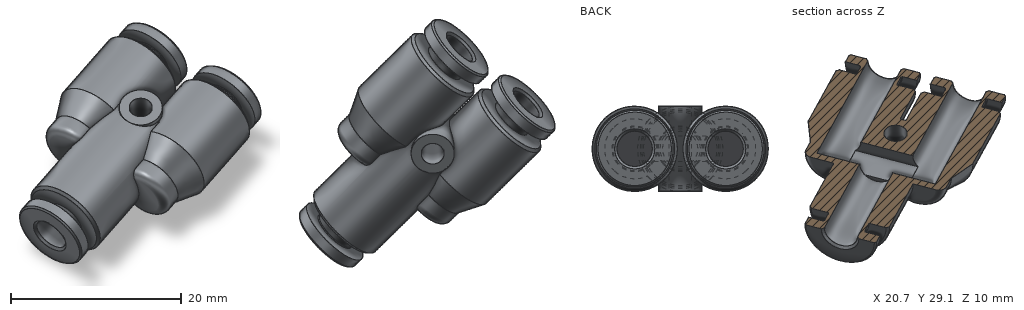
import cadquery as cq


overall_length = 29.1
overall_width = 20.7
outlet_end_y = 10.7
inlet_end_y = outlet_end_y - overall_length
body_radius = 5.0
outlet_offset = overall_width / 2 - body_radius

collar_radius = 4.5
collar_thickness = 1.43
collar_chamfer = 0.2
collar_back_chamfer = 0.12
neck_radius = 2.55
neck_length = 1.45
body_chamfer = 0.32
body_start = collar_thickness + neck_length

taper_start = 12.4
taper_end = 15.6
tail_end = 18.1
tail_radius = 3.52
tail_fillet = 1.02

boss_radius = 2.53
mounting_hole_radius = 1.35

bore_radius = 2.07
bore_chamfer = 0.3
tail_wall = 1.0
channel_height = 3.03
channel_width = 3.5
channel_inlet_y = outlet_end_y - tail_end + tail_wall
channel_middle_y = channel_inlet_y + channel_width / 2

inlet_length = -inlet_end_y
inlet_bore_depth = channel_inlet_y - inlet_end_y
outlet_bore_depth = outlet_end_y - channel_inlet_y


def revolve_along_y(points):
    """Revolve a half profile of (radius, y) points about the Y axis."""
    return cq.Workplane("XY").polyline(points).close().revolve(360, (0, 0, 0), (0, 1, 0))


def collet_end_profile():
    """Half profile of collar, neck and chamfered body edge, going inwards from y = 0."""
    return [
        (0, 0),
        (collar_radius - collar_chamfer, 0),
        (collar_radius, collar_chamfer),
        (collar_radius, collar_thickness),
        (neck_radius + collar_back_chamfer, collar_thickness),
        (neck_radius, collar_thickness + collar_back_chamfer),
        (neck_radius, body_start),
        (body_radius - body_chamfer, body_start),
        (body_radius, body_start + body_chamfer),
    ]


def inlet_leg():
    """Straight leg with its open end at y = 0, running to +Y."""
    return revolve_along_y(collet_end_profile() + [(body_radius, inlet_length), (0, inlet_length)])


def outlet_leg():
    """Leg with its open end at y = 0, running to +Y into a tapered, rounded tail."""
    leg = revolve_along_y(
        collet_end_profile()
        + [(body_radius, taper_start), (tail_radius, taper_end), (tail_radius, tail_end), (0, tail_end)]
    )
    return leg.faces(">Y").edges().fillet(tail_fillet)


def bore(depth):
    """Blind bore with a chamfered mouth at y = 0, running to +Y."""
    return revolve_along_y([
        (0, 0),
        (bore_radius + bore_chamfer, 0),
        (bore_radius, bore_chamfer),
        (bore_radius, depth),
        (0, depth),
    ])


def place_inlet(shape):
    return shape.translate((0, inlet_end_y, 0))


def place_outlet(shape, side):
    """Turn a leg shape to open towards +Y and move it to the side -1 or +1."""
    turned = shape.rotate((0, 0, 0), (0, 0, 1), 180)
    return turned.translate((side * outlet_offset, outlet_end_y, 0))


boss = cq.Workplane("XY").circle(boss_radius).extrude(body_radius, both=True)
fitting = place_inlet(inlet_leg()).union(boss)
for side in (-1, 1):
    fitting = fitting.union(place_outlet(outlet_leg(), side))

fitting = fitting.cut(place_inlet(bore(inlet_bore_depth)))
for side in (-1, 1):
    fitting = fitting.cut(place_outlet(bore(outlet_bore_depth), side))

channel = cq.Workplane("XY").box(2 * outlet_offset, channel_width, channel_height)
fitting = fitting.cut(channel.translate((0, channel_middle_y, 0)))

mounting_hole = cq.Workplane("XY").circle(mounting_hole_radius).extrude(body_radius, both=True)
result = fitting.cut(mounting_hole)